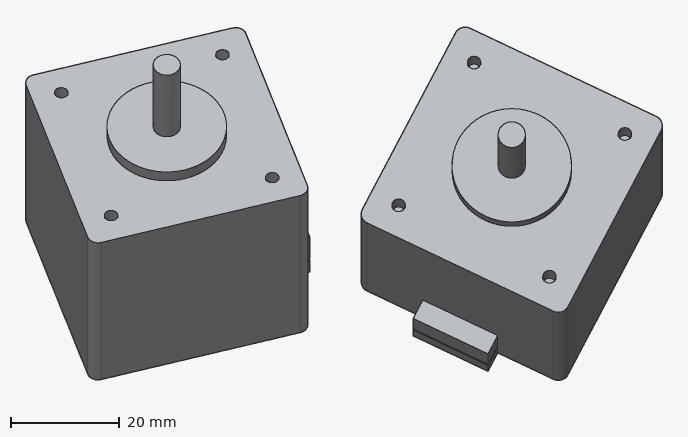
import cadquery as cq

body_width = 42.3
body_height = 39.0
corner_radius = 2.0

pilot_diameter = 22.0
pilot_height = 2.5
shaft_diameter = 5.0
shaft_length = 17.5

hole_diameter = 2.46
hole_spacing = 31.0
hole_depth = 4.5

connector_width = 15.4
connector_depth = 4.0
connector_height = 10.0
slot_bottom = 3.4
slot_top = 4.0


def make_body():
    """Square prism with rounded vertical edges, standing on Z = 0."""
    body = cq.Workplane("XY").rect(body_width, body_width).extrude(body_height)
    return body.edges("|Z").fillet(corner_radius)


def make_cylinder(diameter, height, base_z):
    """Vertical cylinder on the motor axis."""
    return cq.Workplane("XY").workplane(offset=base_z).circle(diameter / 2).extrude(height)


def make_connector_block(bottom_z, top_z):
    """Block standing out from the +Y face between two heights."""
    block = cq.Workplane("XY").box(
        connector_width, connector_depth, top_z - bottom_z, centered=(True, False, False)
    )
    return block.translate((0, body_width / 2, bottom_z))


def make_mounting_holes():
    """Four blind holes on a square pattern, cut down from the top face."""
    return (
        cq.Workplane("XY")
        .workplane(offset=body_height)
        .rect(hole_spacing, hole_spacing, forConstruction=True)
        .vertices()
        .circle(hole_diameter / 2)
        .extrude(-hole_depth)
    )


pilot_top = body_height + pilot_height

result = make_body().cut(make_mounting_holes())
result = result.union(make_cylinder(pilot_diameter, pilot_height, body_height))
result = result.union(make_cylinder(shaft_diameter, shaft_length, pilot_top))
for bottom_z, top_z in [(0, slot_bottom), (slot_top, connector_height)]:
    result = result.union(make_connector_block(bottom_z, top_z))